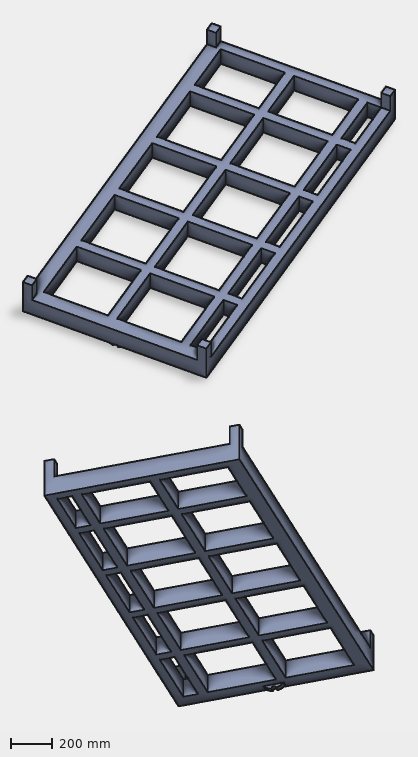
import cadquery as cq
import math

width = 1000.0
length = 2000.0
frame_height = 100.0
bar = 50.0
wide_bar = 1.5 * bar

cell = 350.0
pitch = cell + bar
column_starts = [wide_bar + i * pitch for i in range(3)]
row_starts = [wide_bar + i * pitch for i in range(5)]

post_height = 100.0

foot_radius = 70.0
foot_half_width = 52.0
foot_drop = foot_radius - math.sqrt(foot_radius**2 - foot_half_width**2)
foot_thickness = bar / 2
foot_front = (bar - foot_thickness) / 2
notch_radius = 12.0


def block(x, y, z, size_x, size_y, size_z):
    """Box placed by its lowest corner."""
    return cq.Workplane("XY").box(size_x, size_y, size_z, centered=False).translate((x, y, z))


def make_frame():
    """Flat grid of bars around three columns and five rows of openings."""
    frame = block(0, 0, 0, width, length, frame_height)
    for x in column_starts:
        for y in row_starts:
            size_x = min(cell, width - bar - x)
            size_y = min(cell, length - bar - y)
            frame = frame.cut(block(x, y, 0, size_x, size_y, frame_height))
    return frame


def add_posts(body):
    """Join a square post to the top of each corner."""
    for x in (0, width - bar):
        for y in (0, length - bar):
            body = body.union(block(x, y, frame_height, bar, bar, post_height))
    return body


def make_foot():
    """Circular segment hanging under the frame, split at its lowest point by a half-round notch."""
    segment = (
        cq.Workplane("XZ", origin=(width / 2, foot_front, 0))
        .moveTo(-foot_half_width, 0)
        .threePointArc((0, -foot_drop), (foot_half_width, 0))
        .close()
        .extrude(-foot_thickness)
    )
    notch = (
        cq.Workplane("XZ", origin=(width / 2, foot_front, -foot_drop))
        .circle(notch_radius)
        .extrude(-foot_thickness)
    )
    return segment.cut(notch)


result = add_posts(make_frame()).union(make_foot())